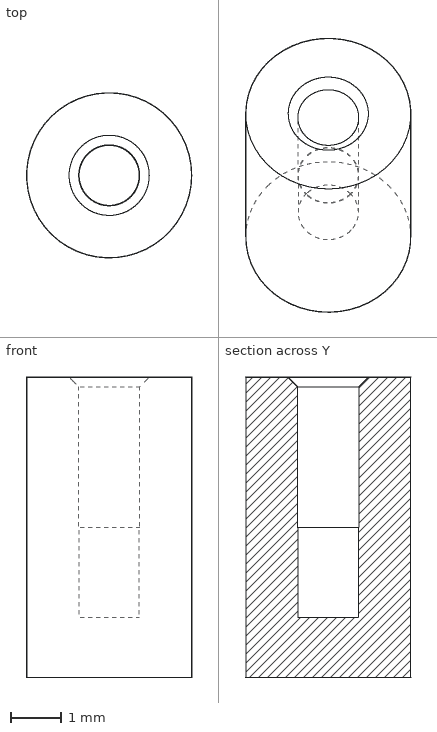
import cadquery as cq

height = 6.0
outer_diameter = 3.3

upper_bore_diameter = 1.22
upper_bore_depth = 3.0
lower_bore_diameter = 1.2
lower_bore_depth = 4.8

mouth_diameter = 1.6
mouth_depth = (mouth_diameter - upper_bore_diameter) / 2

section = (
    cq.Workplane("XZ")
    .moveTo(0, height - lower_bore_depth)
    .lineTo(lower_bore_diameter / 2, height - lower_bore_depth)
    .lineTo(lower_bore_diameter / 2, height - upper_bore_depth)
    .lineTo(upper_bore_diameter / 2, height - upper_bore_depth)
    .lineTo(upper_bore_diameter / 2, height - mouth_depth)
    .lineTo(mouth_diameter / 2, height)
    .lineTo(outer_diameter / 2, height)
    .lineTo(outer_diameter / 2, 0)
    .lineTo(0, 0)
    .close()
)

result = section.revolve(360, (0, 0, 0), (0, 1, 0))